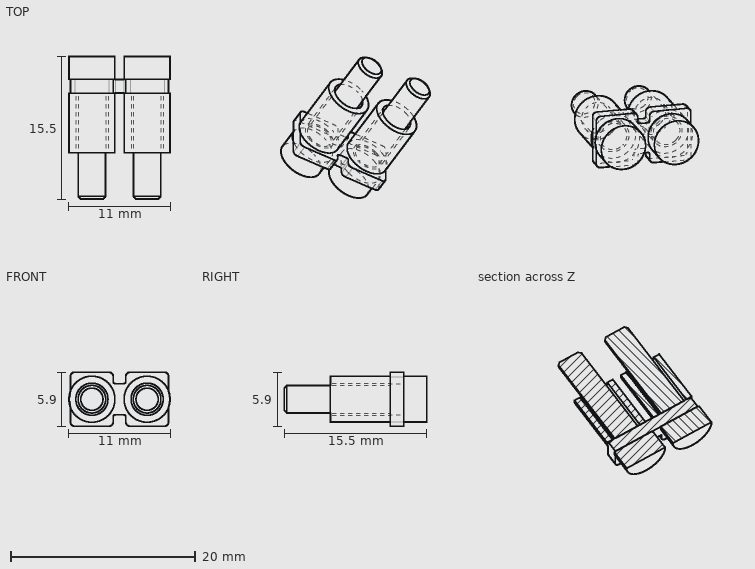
import cadquery as cq

post_spacing = 6.0
post_xs = (-post_spacing / 2, post_spacing / 2)
post_diameter = 5.0

cap_length = 2.5
plate_thickness = 1.5
sleeve_length = 6.5
pin_projection = 5.0

plate_front_y = 0
plate_rear_y = plate_front_y + plate_thickness

pin_diameter = 3.0
pin_chamfer = 0.3
bore_diameter = 3.5

plate_width = 10.7
plate_height = 5.9
notch_width = 1.33
neck_height = 3.41
corner_radius = 0.5
notch_radius = 0.2


def cylinder_forward(x, rear_y, diameter, length):
    """Cylinder parallel to Y that extends from rear_y toward -Y."""
    base = cq.Workplane("XZ", origin=(x, rear_y, 0))
    return base.circle(diameter / 2).extrude(length)


def make_plate():
    """Carrier plate: two rounded pads joined by a narrower neck."""
    base = cq.Workplane("XZ", origin=(0, plate_rear_y, 0))
    pad_width = (plate_width - notch_width) / 2
    pad_offset = (notch_width + pad_width) / 2
    pads = (
        base.pushPoints([(-pad_offset, 0), (pad_offset, 0)])
        .rect(pad_width, plate_height)
        .extrude(plate_thickness)
        .edges("|Y")
        .fillet(corner_radius)
    )
    neck = base.rect(notch_width, neck_height).extrude(plate_thickness)
    plate = pads.union(neck)

    floor_z = neck_height / 2
    inside_corners = cq.selectors.BoxSelector(
        (-notch_width, plate_front_y, -floor_z - notch_radius),
        (notch_width, plate_rear_y, floor_z + notch_radius),
    )
    return plate.edges("|Y").edges(inside_corners).fillet(notch_radius)


def make_cap(x):
    """Solid cylinder standing on the rear face of the plate."""
    return cylinder_forward(x, plate_rear_y + cap_length, post_diameter, cap_length)


def make_sleeve(x):
    """Tube on the front face of the plate, bored right through."""
    tube = cylinder_forward(x, plate_front_y, post_diameter, sleeve_length)
    bore = cylinder_forward(x, plate_front_y, bore_diameter, sleeve_length)
    return tube.cut(bore)


def make_pin(x):
    """Pin with a chamfered tip, seated on the plate and running through the sleeve."""
    pin_length = sleeve_length + pin_projection
    pin = cylinder_forward(x, plate_front_y, pin_diameter, pin_length)
    return pin.faces("<Y").chamfer(pin_chamfer)


plate = make_plate()
caps = [make_cap(x) for x in post_xs]
sleeves = [make_sleeve(x) for x in post_xs]
pins = [make_pin(x) for x in post_xs]

posts = [body.val() for body in caps + sleeves + pins]
result = cq.Compound.makeCompound([plate.val(), *posts])